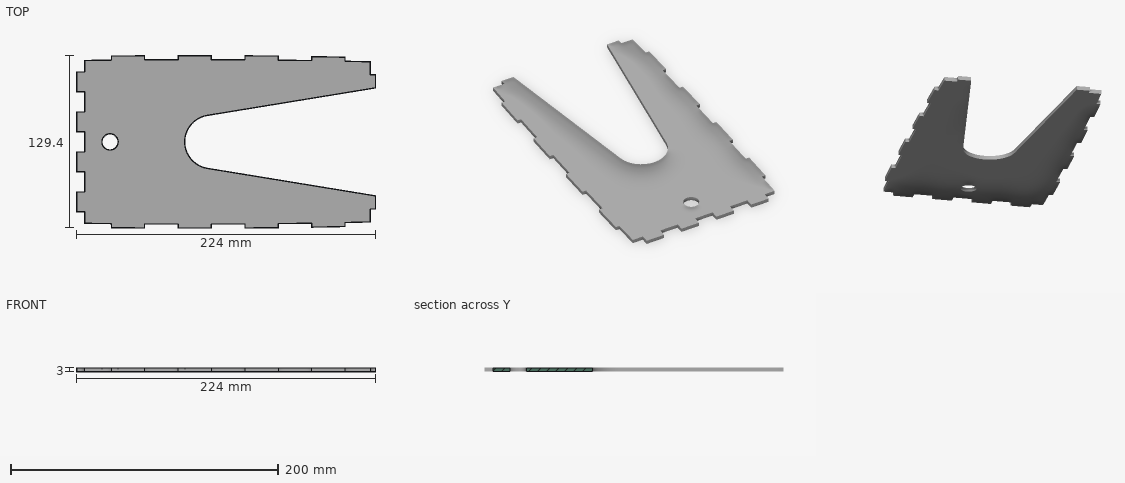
import cadquery as cq
import math

thickness = 3.0
overall_length = 224.0
overall_width = 129.38
rear_tab_depth = 6.0
front_tab_depth = 4.0
side_tab_depth = thickness

body_rear = rear_tab_depth
body_front = overall_length - front_tab_depth

crest_x = 88.0
tab_bow_radius = 5300.0
tab_half_width = overall_width / 2
body_half_width = tab_half_width - side_tab_depth

side_tab_length = 25.0
side_tab_count = 4
first_side_tab_offset = 20.0
rear_tab_width = 15.0
rear_tab_count = 4
front_tab_width = 10.0

slot_radius = 20.0
slot_inner_end = 81.0
slot_mouth_half_width = 40.4

hole_diameter = 12.0
hole_x = 25.0


def bowed_plate(half_width, bow_radius):
    """Plate between the body ends whose long sides are shallow arcs."""

    def side_y(x):
        drop = bow_radius - math.sqrt(bow_radius**2 - (x - crest_x) ** 2)
        return half_width - drop

    rear_y = side_y(body_rear)
    front_y = side_y(body_front)
    return (
        cq.Workplane("XY")
        .moveTo(body_rear, -rear_y)
        .threePointArc((crest_x, -half_width), (body_front, -front_y))
        .lineTo(body_front, front_y)
        .threePointArc((crest_x, half_width), (body_rear, rear_y))
        .close()
        .extrude(thickness)
    )


def block(x_start, x_end, y_start, y_end):
    """Full-thickness rectangular block."""
    return (
        cq.Workplane("XY")
        .moveTo(x_start, y_start)
        .lineTo(x_end, y_start)
        .lineTo(x_end, y_end)
        .lineTo(x_start, y_end)
        .close()
        .extrude(thickness)
    )


def add_side_tabs(plate):
    """Tabs on both long sides; their outer faces follow the bowed sides."""
    wide_plate = bowed_plate(tab_half_width, tab_bow_radius)
    for index in range(side_tab_count):
        start = body_rear + first_side_tab_offset + 2 * index * side_tab_length
        strip = block(start, start + side_tab_length, -tab_half_width, tab_half_width)
        plate = plate.union(wide_plate.intersect(strip))
    return plate


def add_rear_tabs(plate):
    """Evenly spaced tabs along the rear edge, with gaps as wide as the tabs."""
    first_edge = -(2 * rear_tab_count - 1) * rear_tab_width / 2
    for index in range(rear_tab_count):
        start = first_edge + 2 * index * rear_tab_width
        plate = plate.union(block(0, body_rear, start, start + rear_tab_width))
    return plate


def add_front_tabs(plate):
    """Strip across the front edge; the slot parts it into a tab on each leg."""
    half_span = slot_mouth_half_width + front_tab_width
    return plate.union(block(body_front, overall_length, -half_span, half_span))


def tapered_slot():
    """Slot with straight sides tangent to its round inner end."""
    center_x = slot_inner_end + slot_radius
    mouth_dx = overall_length - center_x
    mouth_distance = math.hypot(mouth_dx, slot_mouth_half_width)
    mouth_angle = math.atan2(slot_mouth_half_width, mouth_dx)
    tangent_angle = mouth_angle + math.acos(slot_radius / mouth_distance)
    tangent_x = center_x + slot_radius * math.cos(tangent_angle)
    tangent_y = slot_radius * math.sin(tangent_angle)
    return (
        cq.Workplane("XY")
        .moveTo(overall_length, slot_mouth_half_width)
        .lineTo(tangent_x, tangent_y)
        .threePointArc((slot_inner_end, 0), (tangent_x, -tangent_y))
        .lineTo(overall_length, -slot_mouth_half_width)
        .close()
        .extrude(thickness)
    )


def round_hole():
    return cq.Workplane("XY").center(hole_x, 0).circle(hole_diameter / 2).extrude(thickness)


body = bowed_plate(body_half_width, tab_bow_radius - side_tab_depth)
body = add_side_tabs(body)
body = add_rear_tabs(body)
body = add_front_tabs(body)
result = body.cut(tapered_slot()).cut(round_hole())